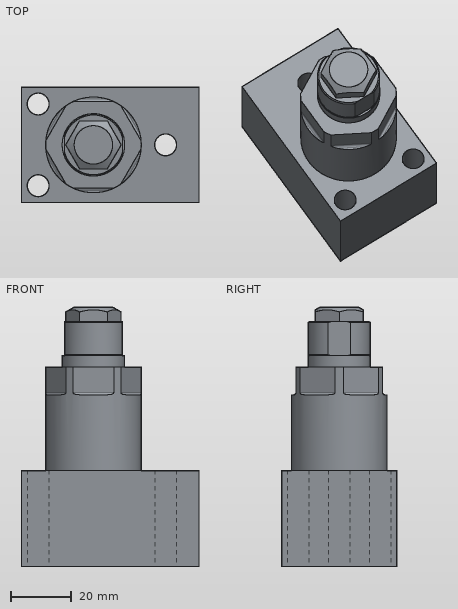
import cadquery as cq
import math

block_length = 58.72
block_width = 38.1
block_height = 31.75

axis_to_left_end = 23.81

hole_diameter = 7.14
left_holes_from_end = 5.56
left_hole_spacing = 26.98
right_hole_from_end = 47.63

body_diameter = 31.6
body_height = 34.14
flat_count = 6
body_across_flats = 28.6
flat_height = 9.13
flat_fillet = 0.8

collar_diameter = 20.64
collar_height = 3.75
cap_diameter = 20.5
cap_height = 11.33
cap_across_flats = 19.05
cap_chamfer = 0.4

total_height = 85.72
head_sides = 6
head_across_flats = 15.875
head_top_diameter = 12.7
head_cone_angle = 30.0

body_top = block_height + body_height
collar_top = body_top + collar_height
cap_top = collar_top + cap_height


def make_block():
    block = cq.Workplane("XY").box(block_length, block_width, block_height, centered=(False, True, False))
    block = block.translate((-axis_to_left_end, 0, 0))
    left_x = left_holes_from_end - axis_to_left_end
    right_x = right_hole_from_end - axis_to_left_end
    hole_centers = [
        (left_x, left_hole_spacing / 2),
        (left_x, -left_hole_spacing / 2),
        (right_x, 0),
    ]
    holes = cq.Workplane("XY").pushPoints(hole_centers).circle(hole_diameter / 2).extrude(block_height)
    return block.cut(holes)


def make_flat_cutter():
    """Block that cuts one flat on the -Y side, with a rounded inner bottom edge."""
    cutter = cq.Workplane("XY").box(body_diameter, body_diameter, flat_height, centered=(True, False, False))
    cutter = cutter.faces(">Y").edges("<Z").fillet(flat_fillet)
    return cutter.translate((0, -body_across_flats / 2 - body_diameter, body_top - flat_height))


def make_body():
    body = cq.Workplane("XY").workplane(offset=block_height).circle(body_diameter / 2).extrude(body_height)
    cutter = make_flat_cutter()
    for index in range(flat_count):
        body = body.cut(cutter.rotate((0, 0, 0), (0, 0, 1), index * 360 / flat_count))
    return body


def make_collar():
    return cq.Workplane("XY").workplane(offset=body_top).circle(collar_diameter / 2).extrude(collar_height)


def make_cap():
    """Round cap with chamfered rims and parallel flats on its -X and +X sides."""
    cap = cq.Workplane("XY").workplane(offset=collar_top).circle(cap_diameter / 2).extrude(cap_height)
    cap = cap.edges().chamfer(cap_chamfer)
    slab = cq.Workplane("XY").box(cap_across_flats, cap_diameter, cap_height, centered=(True, True, False))
    return cap.intersect(slab.translate((0, 0, collar_top)))


def make_head():
    """Hexagon with corners on the X axis, trimmed by a cone that leaves a round top."""
    across_corners = head_across_flats / math.cos(math.pi / head_sides)
    head_height = total_height - cap_top
    base = cq.Workplane("XY").workplane(offset=cap_top)
    hexagon = base.polygon(head_sides, across_corners).extrude(head_height)
    top_radius = head_top_diameter / 2
    cone_radius = across_corners / 2
    cone_drop = (cone_radius - top_radius) * math.tan(math.radians(head_cone_angle))
    profile = [
        (0, cap_top),
        (cone_radius, cap_top),
        (cone_radius, total_height - cone_drop),
        (top_radius, total_height),
        (0, total_height),
    ]
    envelope = cq.Workplane("XZ").polyline(profile).close().revolve(360, (0, 0, 0), (0, 1, 0))
    return hexagon.intersect(envelope)


result = make_block().union(make_body()).union(make_collar()).union(make_cap()).union(make_head())